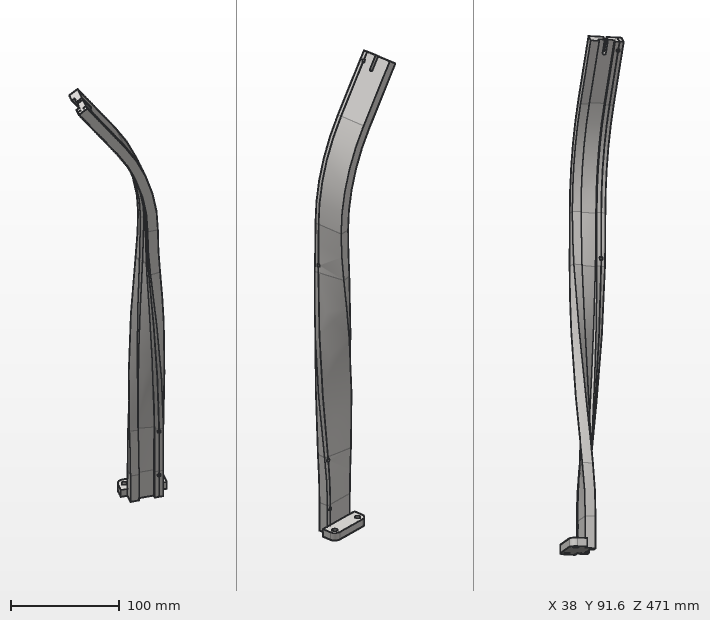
import cadquery as cq
import math

bar_width = 31.5
bar_thickness = 10.0
groove_width = 15.0
groove_depth = 3.5
slit_offset = 12.0
slit_width = 0.25
slit_depth = 3.5

axis_x = 22.0
axis_y = 69.3
thickness_offset = 2.0

twist_start = 30.0
twist_end = 317.5
twist_ease = 50.0
ease_steps = 3
middle_steps = 6
bottom_angle = 90

bend_angle = 34.7
total_height = 471

plate_length = 44.5
plate_height = 8.0
plate_corner = 6.0
plate_hole = 5.0

tip_slot_width = 3.0
tip_slot_length = 15.0
small_hole = 3.0
cut_length = 2 * bar_thickness
tip_hole_distance = 9.0
slit_hole_heights = (25.0, 76.5, 274.5)

back = thickness_offset + bar_thickness / 2
plate_width = axis_x - back
front = thickness_offset - bar_thickness / 2
bend_sin = math.sin(math.radians(bend_angle))
bend_cos = math.cos(math.radians(bend_angle))
rise = total_height - twist_end
reach = axis_y + back - bar_thickness * bend_cos
back_radius = (rise * bend_sin - reach * bend_cos) / (1 - bend_cos)
straight_length = (rise - back_radius * bend_sin) / bend_cos
bend_center_y = axis_y + back - back_radius


def section_plane(height, angle):
    turn = math.radians(angle)
    across = (math.cos(turn), math.sin(turn), 0)
    return cq.Plane(origin=(axis_x, axis_y, height), xDir=across, normal=(0, 0, 1))


def bar_section(plane):
    """Rectangle with a wide groove in the front and a thin slit in both faces."""
    half = bar_width / 2
    groove = groove_width / 2
    slit_left = slit_offset - slit_width / 2
    slit_right = slit_offset + slit_width / 2
    points = [
        (-half, front),
        (-groove, front),
        (-groove, front + groove_depth),
        (groove, front + groove_depth),
        (groove, front),
        (slit_left, front),
        (slit_left, front + slit_depth),
        (slit_right, front + slit_depth),
        (slit_right, front),
        (half, front),
        (half, back),
        (slit_right, back),
        (slit_right, back - slit_depth),
        (slit_left, back - slit_depth),
        (slit_left, back),
        (-half, back),
    ]
    return cq.Workplane(plane).polyline(points).close()


def twist_angle(height):
    """Section turn: a steady twist that builds up and dies out evenly at its ends."""
    length = twist_end - twist_start
    rate = bottom_angle / (length - twist_ease)
    travel = height - twist_start
    left = length - travel
    if travel < twist_ease:
        return bottom_angle - rate * max(travel, 0)**2 / (2 * twist_ease)
    if left < twist_ease:
        return rate * max(left, 0)**2 / (2 * twist_ease)
    return rate * (left - twist_ease / 2)


def twisted_length(low, high, steps):
    wires = []
    for step in range(steps + 1):
        height = low + (high - low) * step / steps
        wires.append(bar_section(section_plane(height, twist_angle(height))).val())
    return cq.Workplane(obj=cq.Solid.makeLoft(wires))


def hole_plane(height):
    turn = math.radians(twist_angle(height))
    across = (math.cos(turn), math.sin(turn), 0)
    through = (math.sin(turn), -math.cos(turn), 0)
    return cq.Plane(origin=(axis_x, axis_y, height), xDir=across, normal=through)


def cross_hole(plane):
    """Hole through the thickness, on the slit."""
    outline = cq.Workplane(plane).center(slit_offset, 0).circle(small_hole / 2)
    return outline.extrude(cut_length, both=True)


foot = bar_section(section_plane(0, bottom_angle)).extrude(twist_start)
bend_start = section_plane(twist_end, 0)
bend = bar_section(bend_start).revolve(
    bend_angle,
    (0, bend_center_y - axis_y, 0),
    (1, bend_center_y - axis_y, 0),
)
top = (
    bar_section(bend_start)
    .extrude(straight_length)
    .rotate((0, bend_center_y, twist_end), (1, bend_center_y, twist_end), bend_angle)
)

plate = (
    cq.Workplane("XY")
    .box(plate_width, plate_length, plate_height, centered=(False, True, False))
    .edges("|Z and <X")
    .fillet(plate_corner)
    .faces(">Z")
    .workplane(origin=(0, 0, 0))
    .pushPoints([(plate_corner, side * (plate_length / 2 - plate_corner)) for side in (-1, 1)])
    .hole(plate_hole)
    .translate((0, axis_y, 0))
)

tip_plane = cq.Plane(
    origin=(axis_x, bar_thickness * bend_cos, total_height),
    xDir=(1, 0, 0),
    normal=(0, -bend_cos, -bend_sin),
)
tip_slot = (
    cq.Workplane(tip_plane)
    .slot2D(2 * tip_slot_length, tip_slot_width, 90)
    .extrude(cut_length, both=True)
)
tip_hole_plane = cq.Plane(
    origin=tip_plane.toWorldCoords((0, -tip_hole_distance)),
    xDir=tip_plane.xDir,
    normal=tip_plane.zDir,
)
tip_hole = cross_hole(tip_hole_plane)

result = (
    foot.union(twisted_length(twist_start, twist_start + twist_ease, ease_steps))
    .union(twisted_length(twist_start + twist_ease, twist_end - twist_ease, middle_steps))
    .union(twisted_length(twist_end - twist_ease, twist_end, ease_steps))
    .union(bend)
    .union(top)
    .union(plate)
    .cut(tip_slot)
    .cut(tip_hole)
)
for height in slit_hole_heights:
    result = result.cut(cross_hole(hole_plane(height)))